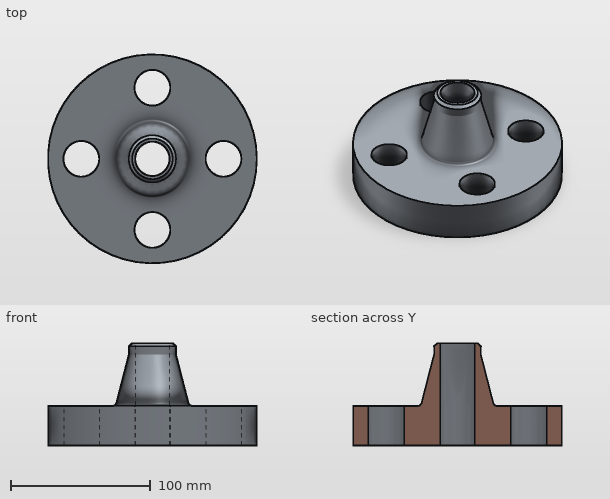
import cadquery as cq

flange_diameter = 149.3
flange_thickness = 28.4

total_height = 73.2
hub_base_diameter = 52.5
hub_fillet_radius = 3.0
neck_diameter = 33.7
taper_top_height = 65.0
bevel_start_height = 71.0
tip_diameter = 29.0
bore_diameter = 24.3

bolt_hole_count = 4
bolt_hole_diameter = 25.4
bolt_circle_diameter = 101.5


def make_body():
    """Revolve the solid half section (radius, height) about the Z axis and fillet the hub base."""
    section = (
        cq.Workplane("XZ")
        .lineTo(flange_diameter / 2, 0)
        .lineTo(flange_diameter / 2, flange_thickness)
        .lineTo(hub_base_diameter / 2, flange_thickness)
        .lineTo(neck_diameter / 2, taper_top_height)
        .lineTo(neck_diameter / 2, bevel_start_height)
        .lineTo(tip_diameter / 2, total_height)
        .lineTo(0, total_height)
        .close()
    )
    body = section.revolve(360, (0, 0), (0, 1))
    flange_top = body.faces("|Z").faces(">Z[-2]")
    hub_foot = flange_top.edges(cq.selectors.RadiusNthSelector(0))
    return hub_foot.fillet(hub_fillet_radius)


def make_bore():
    """Straight bore through the whole height."""
    return cq.Workplane("XY").circle(bore_diameter / 2).extrude(total_height)


def make_bolt_holes():
    """Through holes evenly spaced on the bolt circle."""
    return (
        cq.Workplane("XY")
        .polarArray(bolt_circle_diameter / 2, 0, 360, bolt_hole_count)
        .circle(bolt_hole_diameter / 2)
        .extrude(flange_thickness)
    )


result = make_body().cut(make_bore()).cut(make_bolt_holes())